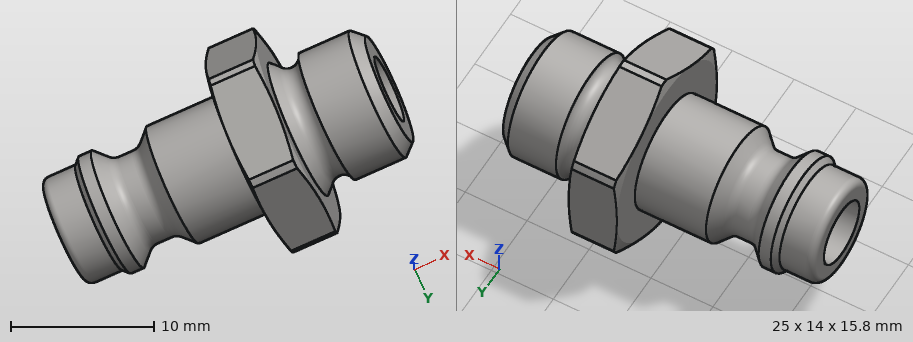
import cadquery as cq
import math

total_length = 25.0
collar_start = 2.68
collar_end = 4.1
body_start = 8.35
hex_start = 14.1
hex_end = 18.0
thread_start = 20.25
thread_chamfer_length = 0.88

bore_radius = 4.95 / 2
tip_radius = 8.1 / 2
body_radius = 9.0 / 2
neck_radius = 6.65 / 2
thread_radius = 9.72 / 2
thread_end_radius = 8.1 / 2
relief_radius = 4.15

tip_round = 0.58
collar_chamfer = body_radius - tip_radius
neck_round = 1.0
relief_round = 0.95

across_flats = 14.0
across_corners = 15.8
hex_chamfer_angle = math.radians(15)


def arc_point(center, radius, degrees):
    """Point on a circle in the X-radius plane, angle measured from +X."""
    angle = math.radians(degrees)
    return (center[0] + radius * math.cos(angle), center[1] + radius * math.sin(angle))


def make_turned_body():
    """Revolved stem: tip, locking collar, neck, body, relief groove and threaded end."""
    tip_center = (tip_round, tip_radius - tip_round)

    blend_height = neck_round * (1 - math.cos(math.radians(45)))
    blend_length = neck_round * math.sin(math.radians(45))
    flank_length = body_radius - neck_radius - blend_height
    neck_start = collar_end + flank_length + blend_length
    neck_end = body_start - flank_length - blend_length
    neck_center_radius = neck_radius + neck_round

    center_radius = relief_radius + relief_round
    half_width = math.sqrt(relief_round**2 - (center_radius - thread_radius) ** 2)
    relief_center = (thread_start - half_width, center_radius)
    relief_flank = arc_point(relief_center, relief_round, 225)
    relief_bottom = arc_point(relief_center, relief_round, 270)
    flank_top_radius = relief_flank[1] + relief_flank[0] - hex_end

    profile = (
        cq.Workplane("XY")
        .moveTo(0, bore_radius)
        .lineTo(0, tip_radius - tip_round)
        .threePointArc(arc_point(tip_center, tip_round, 135), (tip_round, tip_radius))
        .lineTo(collar_start, tip_radius)
        .lineTo(collar_start + collar_chamfer, body_radius)
        .lineTo(collar_end, body_radius)
        .lineTo(collar_end + flank_length, body_radius - flank_length)
        .threePointArc(
            arc_point((neck_start, neck_center_radius), neck_round, 247.5),
            (neck_start, neck_radius),
        )
        .lineTo(neck_end, neck_radius)
        .threePointArc(
            arc_point((neck_end, neck_center_radius), neck_round, 292.5),
            (body_start - flank_length, body_radius - flank_length),
        )
        .lineTo(body_start, body_radius)
        .lineTo(hex_end, body_radius)
        .lineTo(hex_end, flank_top_radius)
        .lineTo(*relief_flank)
        .threePointArc(relief_bottom, (thread_start, thread_radius))
        .lineTo(total_length - thread_chamfer_length, thread_radius)
        .lineTo(total_length, thread_end_radius)
        .lineTo(total_length, bore_radius)
        .close()
    )
    return profile.revolve(360, (0, 0, 0), (1, 0, 0))


def make_hexagon():
    """Hexagon with corners toward +Z and -Z, turned down and chamfered on both faces."""
    hex_width = hex_end - hex_start
    prism = (
        cq.Workplane("YZ", origin=(hex_start, 0, 0))
        .polygon(6, across_flats, circumscribed=True)
        .extrude(hex_width)
    )
    face_radius = across_flats / 2
    corner_radius = across_corners / 2
    chamfer_length = (corner_radius - face_radius) * math.tan(hex_chamfer_angle)
    envelope = (
        cq.Workplane("XY")
        .moveTo(hex_start, 0)
        .lineTo(hex_start, face_radius)
        .lineTo(hex_start + chamfer_length, corner_radius)
        .lineTo(hex_end - chamfer_length, corner_radius)
        .lineTo(hex_end, face_radius)
        .lineTo(hex_end, 0)
        .close()
        .revolve(360, (0, 0, 0), (1, 0, 0))
    )
    bore = cq.Workplane("YZ", origin=(hex_start, 0, 0)).circle(bore_radius).extrude(hex_width)
    return prism.intersect(envelope).cut(bore)


result = make_turned_body().union(make_hexagon())